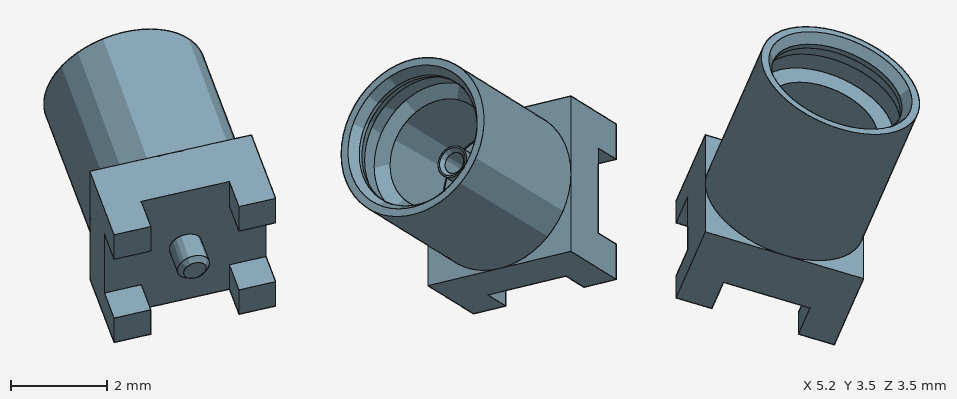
import cadquery as cq

length = 5.2
width = 3.5
barrel_radius = width / 2
flange_thickness = 1.79
flange_start = length - flange_thickness

mouth_radius = 1.58
throat_radius = 1.44
groove_radius = 1.515
bore_radius = 1.2
throat_start = 0.22
throat_end = 0.32
groove_start = 0.545
groove_end = 0.92
bore_start = 1.045
floor_depth = 3.12

insulator_radius = 1.14
insulator_height = 0.05

contact_radius = 0.35
contact_front = 1.56
contact_hole_mouth_radius = 0.31
contact_hole_radius = 0.23
contact_lead_in = 0.085
contact_hole_depth = 1.04
drill_tip_length = 0.135
pin_chamfer = 0.105

slot_width = 1.91
slot_depth = 0.705
slot_floor = length - slot_depth


def revolve_about_x(points):
    """Revolve an (axial position, radius) outline about the X axis."""
    return cq.Workplane("XY").polyline(points).close().revolve(360, (0, 0, 0), (1, 0, 0))


def cylinder_along_x(start, end, radius):
    return cq.Workplane("YZ", origin=(start, 0, 0)).circle(radius).extrude(end - start)


def make_shell():
    barrel = cylinder_along_x(0, flange_start, barrel_radius)
    flange = cq.Workplane("YZ", origin=(flange_start, 0, 0)).rect(width, width).extrude(flange_thickness)
    return barrel.union(flange)


def make_socket_cavity():
    return revolve_about_x([
        (0, 0),
        (0, mouth_radius),
        (throat_start, throat_radius),
        (throat_end, throat_radius),
        (groove_start, groove_radius),
        (groove_end, groove_radius),
        (bore_start, bore_radius),
        (floor_depth, bore_radius),
        (floor_depth, 0),
    ])


def cut_leg_slots(body):
    for slot_size in ((slot_width, width), (width, slot_width)):
        slot = cq.Workplane("YZ", origin=(slot_floor, 0, 0)).rect(*slot_size).extrude(slot_depth)
        body = body.cut(slot)
    return body


def make_contact():
    contact = cylinder_along_x(contact_front, length, contact_radius)
    contact = contact.faces(">X").edges().chamfer(pin_chamfer)
    hole_end = contact_front + contact_hole_depth
    hole = revolve_about_x([
        (contact_front, 0),
        (contact_front, contact_hole_mouth_radius),
        (contact_front + contact_lead_in, contact_hole_radius),
        (hole_end, contact_hole_radius),
        (hole_end + drill_tip_length, 0),
    ])
    return contact.cut(hole)


shell = cut_leg_slots(make_shell().cut(make_socket_cavity()))
insulator = cylinder_along_x(floor_depth - insulator_height, floor_depth, insulator_radius)
result = shell.union(insulator).union(make_contact())